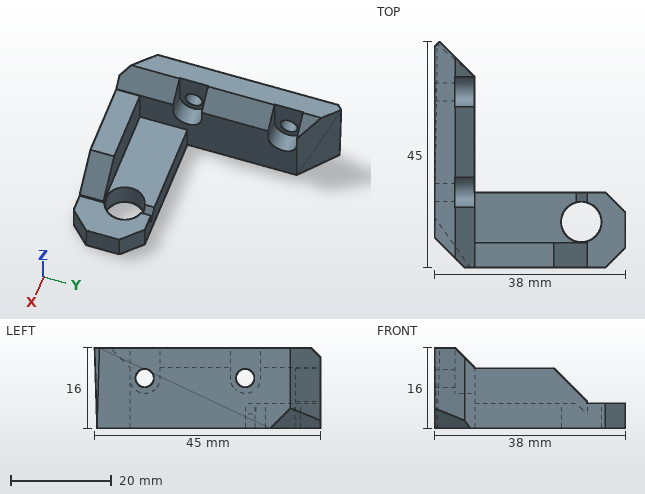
import cadquery as cq

length = 38.0
depth = 45.0
height = 16.0

wall_thickness = 8.0
wall_top_width = 4.15
front_corner_bevel = 6.0
end_bevel = 1.0

facet_x = 7.1
facet_y = 10.0
facet_z = 10.0

arm_width = 15.0
arm_height = 5.0
arm_corner_bevel = 4.0
rib_width = 5.0
rib_height = 12.0
step_x = 30.35
rib_slope_x = 23.75
notch_start_x = 28.2

pin_hole_diameter = 8.0
pin_hole_x = 29.2
pin_hole_y = 9.1
screw_hole_diameter = 3.6
screw_head_diameter = 6.0
screw_head_seat_x = 4.0
screw_z = 10.0
screw_ys = (15.0, 35.0)

CUT_SIZE = 100.0


def trim(body, point, normal):
    """Remove everything on the side of a plane that its normal points to."""
    plane = cq.Plane(origin=point, normal=normal)
    centering = (True, True, False)
    return body.cut(cq.Workplane(plane).box(CUT_SIZE, CUT_SIZE, CUT_SIZE, centered=centering))


def plane_normal(first, second, third):
    """Normal of the plane through three points, toward the side that sees them counter-clockwise."""
    origin = cq.Vector(*first)
    return (cq.Vector(*second) - origin).cross(cq.Vector(*third) - origin)


def make_wall():
    """Upright wall with a sloping inner top edge."""
    slope_drop = wall_thickness - wall_top_width
    profile = [
        (0, 0),
        (wall_thickness, 0),
        (wall_thickness, height - slope_drop),
        (wall_top_width, height),
        (0, height),
    ]
    wall_run = depth + end_bevel
    return cq.Workplane("XZ").polyline(profile).close().extrude(-wall_run)


def cut_far_end(wall):
    """Cut the wall's far end at 45 degrees, with a short bevel across its tip."""
    tip = (end_bevel, depth, height)
    wall = trim(wall, tip, (1, 1, 0))
    wall = trim(wall, tip, (-1, 1, 0))

    low_point = (end_bevel / 2, depth - end_bevel / 2, 0)
    outer_top = (0, depth - end_bevel, height)
    outer_bottom = (0, facet_y, 0)
    inner_bottom = (wall_thickness, depth + end_bevel - wall_thickness, 0)
    wall = trim(wall, low_point, plane_normal(low_point, outer_bottom, outer_top))
    return trim(wall, low_point, plane_normal(low_point, tip, inner_bottom))


def make_arm():
    """Arm plate with a raised rib on its front edge and a notch near its end."""
    rib_slope_end_z = rib_height - (step_x - rib_slope_x)
    rib_profile = [
        (wall_thickness, 0),
        (length, 0),
        (length, arm_height),
        (step_x, arm_height),
        (step_x, rib_slope_end_z),
        (rib_slope_x, rib_height),
        (wall_thickness, rib_height),
    ]
    plate_profile = [
        (wall_thickness, 0),
        (length, 0),
        (length, arm_height),
        (step_x, arm_height),
        (step_x, arm_height - (step_x - notch_start_x)),
        (notch_start_x, arm_height),
        (wall_thickness, arm_height),
    ]
    rib = cq.Workplane("XZ").polyline(rib_profile).close().extrude(-rib_width)
    plate = cq.Workplane("XZ").polyline(plate_profile).close().extrude(-arm_width)
    arm = rib.union(plate)
    return arm.edges("|Z and >X").chamfer(arm_corner_bevel)


def cut_front_corner(body):
    """Bevel the outer front corner and add the facet below it."""
    body = trim(body, (front_corner_bevel, 0, 0), (-1, -1, 0))
    return trim(body, (facet_x, 0, 0), (-1 / facet_x, -1 / facet_y, -1 / facet_z))


def cut_pin_hole(body):
    """Vertical through hole near the end of the arm."""
    hole = cq.Workplane("XY").center(pin_hole_x, pin_hole_y).circle(pin_hole_diameter / 2).extrude(height)
    return body.cut(hole)


def cut_screw_hole(body, y):
    """Through hole in the wall with a head recess that is open upward."""
    hole_plane = cq.Workplane("YZ").center(y, screw_z)
    hole = hole_plane.circle(screw_hole_diameter / 2).extrude(wall_thickness)
    seat_plane = hole_plane.workplane(offset=screw_head_seat_x)
    recess_depth = wall_thickness - screw_head_seat_x
    head = seat_plane.circle(screw_head_diameter / 2).extrude(recess_depth)
    opening_height = height - screw_z
    opening_profile = seat_plane.center(0, opening_height / 2).rect(screw_head_diameter, opening_height)
    opening = opening_profile.extrude(recess_depth)
    return body.cut(hole).cut(head).cut(opening)


wall = cut_far_end(make_wall())
result = cut_front_corner(wall.union(make_arm()))
result = cut_pin_hole(result)
for screw_y in screw_ys:
    result = cut_screw_hole(result, screw_y)